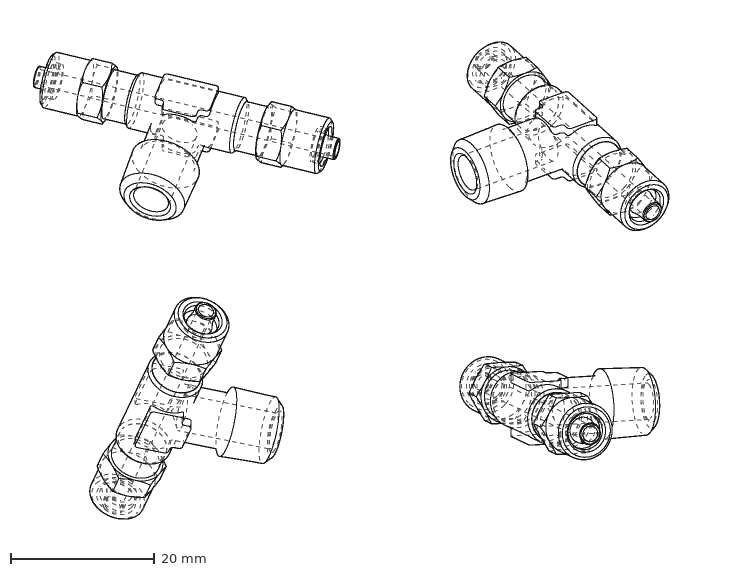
import cadquery as cq
import math


run_half_length = 22.0
body_radius = 4.0
body_half_length = 7.95
body_chamfer = 0.45
neck_radius = 3.5

nut_outer_x = 20.35
nut_inner_x = 11.3
nut_chamfer = 0.45
hex_flats = 8.0
hex_outer_x = 14.85
hex_chamfer = 0.35
hex_corner_radius = hex_flats / 2 / math.cos(math.radians(30))
nut_bore_radius = 2.55
nut_bore_mouth_radius = 2.85
nut_bore_mouth_depth = 0.45
nut_bore_depth = 1.55

spigot_radius = 1.55
spigot_root_radius = 1.85
spigot_chamfer = 0.15
run_bore_radius = 1.1

branch_length = 17.0
branch_shoulder_y = 9.25
branch_thread_y = 9.75
branch_root_fillet = 0.4
thread_diameter = 9.9
thread_radius = thread_diameter / 2
thread_chamfer_length = 0.95
thread_tip_radius = 3.85
taper = 1 / 32
branch_bore_radius = 2.55
branch_bore_mouth_radius = 3.0
branch_bore_mouth_depth = 0.45
drill_tip_angle = 118.0
drill_tip_height = branch_bore_radius / math.tan(math.radians(drill_tip_angle / 2))
drill_apex_y = 1.75

pad_height = 8.9
pad_back_y = 2.4
pad_shoulder_y = pad_back_y
pad_front_y = body_radius
pad_half_width = body_radius
pad_tongue_half_width = 2.5
pad_corner_fillet = 0.5
crotch_fillet = 0.25


def revolve_about_x(points):
    """Revolve an (x, radius) outline around the run axis."""
    return cq.Workplane("XY").polyline(points).close().revolve(360, (0, 0, 0), (1, 0, 0))


def revolve_about_y(points):
    """Revolve a (radius, distance along -Y) outline around the branch axis."""
    outline = [(radius, -distance) for radius, distance in points]
    return cq.Workplane("XY").polyline(outline).close().revolve(360, (0, 0, 0), (0, 1, 0))


def make_body():
    """Chamfered centre barrel of the run."""
    barrel = cq.Workplane("YZ").circle(body_radius).extrude(body_half_length, both=True)
    return barrel.faces("<X or >X").chamfer(body_chamfer)


def make_branch():
    """Branch stem, flared out to the tapered thread with a chamfered tip."""
    thread_end_y = branch_length - thread_chamfer_length
    thread_end_radius = thread_radius - taper * (thread_end_y - branch_thread_y)
    branch = revolve_about_y([
        (0, 0),
        (body_radius, 0),
        (body_radius, branch_shoulder_y),
        (thread_radius, branch_thread_y),
        (thread_end_radius, thread_end_y),
        (thread_tip_radius, branch_length),
        (0, branch_length),
    ])
    shoulder = cq.selectors.NearestToPointSelector((0, -branch_shoulder_y, 0))
    return branch.edges(shoulder).fillet(branch_root_fillet)


def make_pad():
    """T-shaped block whose ends stand as flat pads above and below the barrel."""
    return (
        cq.Workplane("XY")
        .polyline([
            (-pad_half_width, pad_back_y),
            (pad_half_width, pad_back_y),
            (pad_half_width, -pad_shoulder_y),
            (pad_tongue_half_width, -pad_shoulder_y),
            (pad_tongue_half_width, -pad_front_y),
            (-pad_tongue_half_width, -pad_front_y),
            (-pad_tongue_half_width, -pad_shoulder_y),
            (-pad_half_width, -pad_shoulder_y),
        ])
        .close()
        .extrude(pad_height / 2, both=True)
        .edges("|Z")
        .fillet(pad_corner_fillet)
    )


def make_centre():
    """Barrel, branch and pads joined, with the crotches between barrel and branch rounded."""
    tee = make_body().union(make_branch()).union(make_pad())
    for side in (-1, 1):
        crotch = cq.selectors.NearestToPointSelector((side * body_radius, -body_radius, 0))
        tee = tee.edges(crotch).fillet(crotch_fillet)
    return tee


def make_run_end():
    """Neck, nut and spigot at the +X end of the run."""
    neck = cq.Workplane("YZ").circle(neck_radius).extrude(hex_outer_x)

    sleeve = (
        cq.Workplane("YZ", origin=(nut_inner_x, 0, 0))
        .circle(hex_flats / 2)
        .extrude(nut_outer_x - nut_inner_x)
        .faces(">X")
        .chamfer(nut_chamfer)
    )
    hexagon = (
        cq.Workplane("YZ", origin=(nut_inner_x, 0, 0))
        .polygon(6, 2 * hex_corner_radius)
        .extrude(hex_outer_x - nut_inner_x)
    )
    hex_rounding = revolve_about_x([
        (nut_inner_x, 0),
        (nut_inner_x, hex_flats / 2),
        (nut_inner_x + hex_chamfer, hex_corner_radius),
        (hex_outer_x - hex_chamfer, hex_corner_radius),
        (hex_outer_x, hex_flats / 2),
        (hex_outer_x, 0),
    ])
    nut = sleeve.union(hexagon.intersect(hex_rounding))

    nut_bore_floor_x = nut_outer_x - nut_bore_depth
    nut_bore = revolve_about_x([
        (nut_bore_floor_x, 0),
        (nut_bore_floor_x, nut_bore_radius),
        (nut_outer_x - nut_bore_mouth_depth, nut_bore_radius),
        (nut_outer_x, nut_bore_mouth_radius),
        (nut_outer_x, 0),
    ])
    spigot = revolve_about_x([
        (nut_inner_x, 0),
        (nut_inner_x, spigot_root_radius),
        (nut_bore_floor_x, spigot_root_radius),
        (nut_outer_x, spigot_radius),
        (run_half_length - spigot_chamfer, spigot_radius),
        (run_half_length, spigot_radius - spigot_chamfer),
        (run_half_length, 0),
    ])
    return neck.union(nut).cut(nut_bore).union(spigot)


def make_branch_bore():
    """Blind drilled bore of the branch with a countersunk mouth."""
    return revolve_about_y([
        (0, drill_apex_y),
        (branch_bore_radius, drill_apex_y + drill_tip_height),
        (branch_bore_radius, branch_length - branch_bore_mouth_depth),
        (branch_bore_mouth_radius, branch_length),
        (0, branch_length),
    ])


run_end = make_run_end()
run_bore = cq.Workplane("YZ").circle(run_bore_radius).extrude(run_half_length, both=True)

result = (
    make_centre()
    .union(run_end)
    .union(run_end.mirror("YZ"))
    .cut(run_bore)
    .cut(make_branch_bore())
)